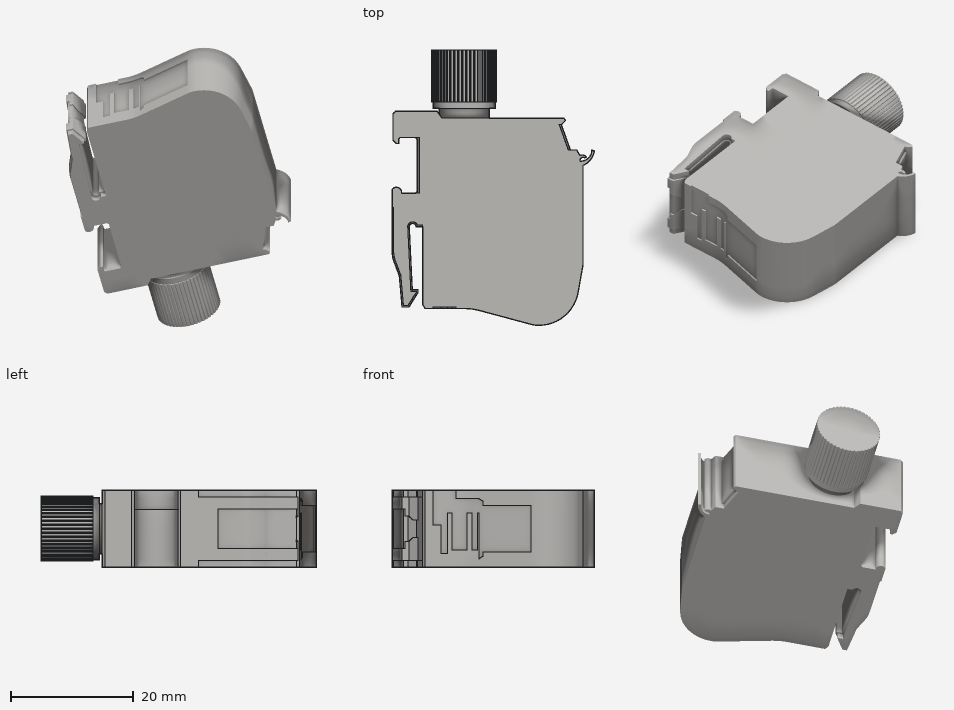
import cadquery as cq
import math


thickness = 12.55
half = thickness / 2
total_length = 44.85
skin = 0.25

hook_x = 0.15
hook_top_y = 34.9
deck_y = 33.8
rail_floor_x = 4.1
rail_top_y = 30.6
rail_bottom_y = 21.55
housing_left_x = 5.0
slot_top_y = 16.05
base_y = 2.75
right_x = 31.15
right_end_y = 9.95
side_slope = math.radians(10)
base_slope = math.radians(15)
foot_side_radius = 6.55
foot_base_radius = 4.65
blend_radius = 8.97

rail_relief_depth = 0.35
rail_relief_z = 3.15

lever_rim_top_y = 19.25
lever_rim_z = 5.15
lever_pad_half_z = 3.25
barb_x = 2.15
notch_wide_half_z = 2.1
notch_wide_end_x = 2.7
notch_narrow_half_z = 1.45
notch_narrow_start_x = 3.4
barb_tip_x = 4.25
barb_top_y = 5.85
slot_radius = 0.55
slot_x = 3.35

seat_upper = (27.6, 32.7)
seat_lower = (29.08, 28.6)
seat_rim_width = 0.35
seat_rim_z = 5.15

knob_x = 11.75
knob_radius = 5.3
knob_bottom_y = 36.45
groove_count = 50
groove_depth = 0.2
collar_radius = 5.05
collar_bottom_y = 35.35
neck_radius = 4.1
neck_embed = 0.45

side_lean = (right_end_y - foot_side_radius) * math.tan(side_slope)
foot_x = right_x - side_lean - foot_side_radius / math.cos(side_slope)
foot_bottom = (foot_x, 0)


def foot_point(radius, angle):
    """Point on a foot arc, angle measured from straight down towards +X."""
    return (foot_x + radius * math.sin(angle), radius * (1 - math.cos(angle)))


foot_start = foot_point(foot_base_radius, -base_slope)
foot_end = foot_point(foot_side_radius, math.pi / 2 - side_slope)
bend_x = foot_start[0] - (base_y - foot_start[1]) / math.tan(base_slope)
blend_reach = blend_radius * math.tan(base_slope / 2)
blend_start = (bend_x - blend_reach, base_y)
blend_end = (
    bend_x + blend_reach * math.cos(base_slope),
    base_y - blend_reach * math.sin(base_slope),
)

lever_outside = [
    (0, 11.8), (0.15, 10.85), (1.15, 8.1), (1.6, 3.0), (2.8, 3.0),
    (barb_tip_x, 5.4), (barb_tip_x, barb_top_y),
]
lever_inside = [(3.3, barb_top_y), (slot_x - slot_radius, slot_top_y)]


def slab(outline, z_low, z_high):
    """Extrude a closed outline between two heights."""
    return outline.extrude(z_high - z_low).translate((0, 0, z_low))


def box(x_range, y_range, z_range):
    """Axis-aligned block from its limits."""
    (x0, x1), (y0, y1), (z0, z1) = x_range, y_range, z_range
    return cq.Workplane("XY").box(x1 - x0, y1 - y0, z1 - z0, centered=False).translate((x0, y0, z0))


def make_housing():
    outline = (
        cq.Workplane("XY")
        .moveTo(hook_x, hook_top_y - 0.45)
        .lineTo(hook_x + 0.45, hook_top_y)
        .lineTo(7.35, hook_top_y)
        .lineTo(8.1, deck_y)
        .lineTo(28.0, deck_y)
        .lineTo(28.25, 33.4)
        .lineTo(*seat_upper)
        .lineTo(*seat_lower)
        .lineTo(30.1, seat_lower[1])
        .lineTo(30.6, 27.7)
        .threePointArc((31.15, 27.77), (31.7, 27.4))
        .lineTo(31.35, 27.3)
        .threePointArc((30.83, 27.3), (30.65, 26.8))
        .threePointArc((31.95, 27.25), (32.55, 28.6))
        .lineTo(33.0, 28.45)
        .threePointArc((32.4, 27.05), (right_x, 26.05))
        .lineTo(right_x, right_end_y)
        .lineTo(*foot_end)
        .threePointArc(foot_point(foot_side_radius, math.pi / 4), foot_bottom)
        .threePointArc(foot_point(foot_base_radius, -base_slope / 2), foot_start)
        .lineTo(*blend_end)
        .tangentArcPoint(blend_start, relative=False)
        .lineTo(housing_left_x + 0.4, base_y)
        .lineTo(housing_left_x, base_y + 0.67)
        .lineTo(housing_left_x, slot_top_y)
        .lineTo(slot_x + slot_radius, slot_top_y)
        .threePointArc((slot_x, slot_top_y + slot_radius), lever_inside[-1])
        .lineTo(*lever_inside[0])
        .polyline(lever_outside[::-1], includeCurrent=True)
        .lineTo(0, 22.1)
        .threePointArc((0.75, 22.52), (1.55, rail_bottom_y))
        .lineTo(rail_floor_x - skin, rail_bottom_y)
        .lineTo(rail_floor_x, rail_bottom_y + skin)
        .lineTo(rail_floor_x, rail_top_y - skin)
        .lineTo(rail_floor_x - skin, rail_top_y)
        .lineTo(1.3, rail_top_y)
        .lineTo(1.1, rail_top_y - 0.2)
        .lineTo(1.1, 29.6)
        .lineTo(0.7, 29.6)
        .lineTo(hook_x, 30.15)
        .close()
    )
    return slab(outline, -half, half)


def make_lever_skin():
    """Layer of constant depth just under the lever's outer surface."""
    run_on_y = slot_top_y + 2.25
    outline = [(0, run_on_y), *lever_outside, *lever_inside, (slot_x - slot_radius, run_on_y)]
    lever = cq.Workplane("XY").polyline(outline).close()
    core = cq.Workplane("XY").polyline(outline).close().offset2D(-skin, "intersection")
    layer = slab(lever, -half, half).cut(slab(core, -half, half))
    return layer.intersect(box((0, barb_tip_x), (0, slot_top_y), (-half, half)))


def make_rim_step(z_low, z_high):
    """Skin removed from the lever and the slot head over one rim of the thickness."""
    z_range = (z_low, z_high)
    lever_part = make_lever_skin().intersect(box((0, barb_tip_x), (0, slot_top_y), z_range))
    upper_strip = box((0, skin), (slot_top_y, lever_rim_top_y), z_range)
    slot_head = slab(
        cq.Workplane("XY").center(slot_x, slot_top_y).circle(slot_radius + skin), z_low, z_high
    )
    slot_ceiling = box((slot_x, housing_left_x), (slot_top_y, slot_top_y + skin), z_range)
    return lever_part.union(upper_strip).union(slot_head).union(slot_ceiling)


def make_pad_recess():
    """Skin removed from the outer face of the lever and, between sloping sides, from the barb."""
    layer = make_lever_skin()
    pad = box((0, barb_x), (0, slot_top_y), (-lever_pad_half_z, lever_pad_half_z))
    notch_side = [
        (barb_x, notch_wide_half_z),
        (notch_wide_end_x, notch_wide_half_z),
        (notch_narrow_start_x, notch_narrow_half_z),
        (barb_tip_x, notch_narrow_half_z),
    ]
    opposite_side = [(x, -z) for x, z in reversed(notch_side)]
    notch = cq.Workplane("XZ").polyline(notch_side + opposite_side).close().extrude(-barb_top_y)
    return layer.intersect(pad.union(notch))


def make_rail_relief():
    return box(
        (rail_floor_x - skin, rail_floor_x + rail_relief_depth),
        (rail_bottom_y, rail_top_y),
        (rail_relief_z, half),
    )


def make_seat_rim(z_low, z_high):
    (upper_x, upper_y), (lower_x, lower_y) = seat_upper, seat_lower
    outline = (
        cq.Workplane("XY")
        .moveTo(upper_x, upper_y)
        .lineTo(lower_x, lower_y)
        .lineTo(lower_x - seat_rim_width, lower_y)
        .lineTo(upper_x - seat_rim_width, upper_y)
        .close()
    )
    return slab(outline, z_low, z_high)


def make_base_recess(housing):
    """Layer of the base under the comb, its raised fingers left standing, and the label panel."""
    step_z = 0.65
    first_slot_z = -4.05
    slot_z = -3.5
    finger_z = 2.55
    wide_z = 4.9
    corner = 0.45
    label_z = 3.75
    label_left_x = 14.85
    label_right_x = foot_start[0]
    outline = [
        (6.7, half), (6.7, step_z), (7.95, step_z), (7.95, first_slot_z),
        (9.0, first_slot_z), (9.0, finger_z), (9.75, finger_z), (9.75, slot_z),
        (12.2, slot_z), (12.2, finger_z), (13.0, finger_z), (13.0, slot_z),
        (13.95, slot_z), (13.95, finger_z), (14.2, finger_z), (14.2, -wide_z),
        (label_left_x, -wide_z + corner), (label_left_x, -label_z), (label_right_x, -label_z),
        (label_right_x, label_z), (label_left_x, label_z), (label_left_x, wide_z - corner),
        (14.2, wide_z), (10.4, wide_z), (10.4, half),
    ]
    window = cq.Workplane("XZ").polyline(outline).close().extrude(-slot_top_y)
    return window.intersect(housing).cut(housing.translate((0, skin, 0)))


def disc(radius, y_low, y_high):
    return cq.Workplane("XZ", origin=(knob_x, y_low, 0)).circle(radius).extrude(-(y_high - y_low))


def make_knob():
    pitch = 2 * math.pi / groove_count
    root_radius = knob_radius - groove_depth
    tooth = [(-0.3, knob_radius), (0.3, knob_radius), (0.45, root_radius), (0.55, root_radius)]
    points = []
    for index in range(groove_count):
        for fraction, radius in tooth:
            angle = (index + fraction) * pitch
            points.append((radius * math.sin(angle), radius * math.cos(angle)))
    grip = (
        cq.Workplane("XZ", origin=(knob_x, knob_bottom_y, 0))
        .polyline(points)
        .close()
        .extrude(-(total_length - knob_bottom_y))
    )
    collar = disc(collar_radius, collar_bottom_y, knob_bottom_y)
    neck = disc(neck_radius, deck_y - neck_embed, collar_bottom_y)
    return grip.union(collar).union(neck)


housing = make_housing()
result = housing.cut(make_base_recess(housing)).cut(make_pad_recess()).cut(make_rail_relief())
for z_low, z_high in ((lever_rim_z, half), (-half, -lever_rim_z)):
    result = result.cut(make_rim_step(z_low, z_high))
for z_low, z_high in ((seat_rim_z, half), (-half, -seat_rim_z)):
    result = result.cut(make_seat_rim(z_low, z_high))
result = result.union(make_knob())